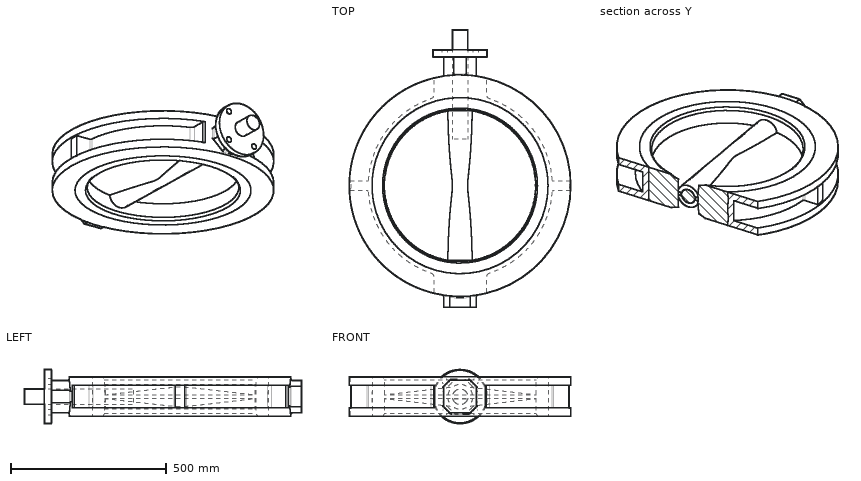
import cadquery as cq
import math

ring_radius = 357.5
ring_height = 127.0
rim_thickness = 27.0
pocket_height = ring_height - 2 * rim_thickness
pocket_floor_radius = 297.0

rib_half_width = 15.0
rib_outer_radius = 352.0
rib_fillet = 5.0
web_half_width = 85.0
web_fillet = 13.0
web_chamfer_across = 4.0

boss_width = 105.0
cap_flat_width = 66.0
neck_flat_width = 40.0
boss_base_fillet = 4.0
cap_end = -392.5

stem_end = 502.5
stem_length_outside = 65.0
stem_diameter = 50.0
flange_outer_face = stem_end - stem_length_outside
flange_thickness = 24.0
flange_inner_face = flange_outer_face - flange_thickness
flange_diameter = 175.0
flange_chamfer = 2.5
bolt_circle_diameter = 140.0
bolt_hole_diameter = 18.0
bolt_count = 4

liner_outer_radius = 284.0
bore_radius = 244.5
lip_radius = 250.0
lip_depth = 10.0

disc_radius = bore_radius
disc_rim_height = 12.0
hub_radius = 40.0
hub_length = 2 * math.sqrt(disc_radius**2 - hub_radius**2)
waist_half_width = 24.5
stem_depth_in_hub = 90.0
stem_inner_end = hub_length / 2 - stem_depth_in_hub

waist_height = math.sqrt(hub_radius**2 - waist_half_width**2)
cone_slope = (waist_height - disc_rim_height / 2) / (disc_radius - waist_half_width)
cone_apex_height = disc_rim_height / 2 + cone_slope * disc_radius


def cylinder_y(diameter, y_start, y_end):
    """Cylinder on the Y axis from y_start to y_end."""
    plane = cq.Workplane("XZ", origin=(0, y_end, 0))
    return plane.circle(diameter / 2).extrude(y_end - y_start)


def cylinder_z(radius, height):
    """Cylinder on the Z axis, centred on the mid plane."""
    return cq.Workplane("XY").circle(radius).extrude(height / 2, both=True)


def octagon_boss(flat_width, y_start, y_end):
    """Square bar on the Y axis whose four long edges are cut at 45 degrees."""
    corner_cut = (boss_width - flat_width) / 2
    length = y_end - y_start
    bar = cq.Workplane("XY").box(boss_width, length, boss_width).edges("|Y").chamfer(corner_cut)
    return bar.translate((0, (y_start + y_end) / 2, 0))


def fillet_nearest(solid, point, radius):
    """Round the edge of the solid that lies nearest to the point."""
    return solid.edges(cq.selectors.NearestToPointSelector(point)).fillet(radius)


def flare_boss_base(housing, side):
    """Blend the four boss flats into the ring; side is +1 or -1 along Y."""
    half = boss_width / 2
    side_flat_base = math.sqrt(ring_radius**2 - half**2)
    for sign in (1, -1):
        side_point = (sign * half, side * side_flat_base, 0)
        housing = fillet_nearest(housing, side_point, boss_base_fillet)
        face_point = (0, side * ring_radius, sign * half)
        housing = fillet_nearest(housing, face_point, boss_base_fillet)
    return housing


def rim_pocket():
    """Pocket between one rib and one web, in the +X +Y quadrant."""
    reach = ring_radius
    block = cq.Workplane("XY").box(reach, reach, pocket_height, centered=(False, False, True))
    block = block.translate((web_half_width, rib_half_width, 0))
    pocket = block.cut(cylinder_z(pocket_floor_radius, pocket_height))
    rib_corner_x = math.sqrt(pocket_floor_radius**2 - rib_half_width**2)
    web_corner_y = math.sqrt(pocket_floor_radius**2 - web_half_width**2)
    pocket = fillet_nearest(pocket, (rib_corner_x, rib_half_width, 0), rib_fillet)
    pocket = fillet_nearest(pocket, (web_half_width, web_corner_y, 0), web_fillet)

    mouth_x = web_half_width - web_chamfer_across
    mouth_y = math.sqrt(ring_radius**2 - mouth_x**2)
    bevel_y = math.sqrt(rib_outer_radius**2 - web_half_width**2)
    bevel = (
        cq.Workplane("XY")
        .polyline([(web_half_width, bevel_y), (mouth_x, mouth_y), (web_half_width, reach)])
        .close()
        .extrude(pocket_height / 2, both=True)
    )
    return pocket.union(bevel)


def rib_relief():
    """Material removed so that the ribs end short of the rims."""
    outer_band = cylinder_z(ring_radius, pocket_height).cut(cylinder_z(rib_outer_radius, pocket_height))
    rib_zone = cq.Workplane("XY").box(2 * ring_radius, 2 * rib_half_width, pocket_height)
    return outer_band.intersect(rib_zone)


def actuator_flange():
    """Round flange with bolt holes at the outer end of the neck."""
    flange = cylinder_y(flange_diameter, flange_inner_face, flange_outer_face)
    flange = flange.faces("<Y").edges().chamfer(flange_chamfer)
    bolt_holes = (
        cq.Workplane("XZ", origin=(0, flange_outer_face, 0))
        .polarArray(bolt_circle_diameter / 2, 180 / bolt_count, 360, bolt_count)
        .circle(bolt_hole_diameter / 2)
        .extrude(flange_thickness)
    )
    return flange.cut(bolt_holes)


def make_housing():
    """Ring with rim pockets, end cap, neck and actuator flange."""
    ring = cylinder_z(ring_radius, ring_height)
    neck = octagon_boss(neck_flat_width, 0, flange_inner_face)
    cap = octagon_boss(cap_flat_width, cap_end, 0)
    housing = ring.union(neck).union(cap)
    for side in (-1, 1):
        housing = flare_boss_base(housing, side)

    pocket = rim_pocket()
    for side_pocket in (pocket, pocket.mirror("YZ")):
        housing = housing.cut(side_pocket).cut(side_pocket.mirror("XZ"))
    housing = housing.cut(rib_relief())

    housing = housing.union(actuator_flange())
    housing = housing.cut(cylinder_z(liner_outer_radius, ring_height))
    return housing.cut(cylinder_y(stem_diameter, 0, flange_outer_face))


def make_liner():
    """Sleeve flush with both ring faces, with a conical lead-in at each end."""
    half = ring_height / 2
    profile = [
        (bore_radius, 0),
        (bore_radius, half - lip_depth),
        (lip_radius, half),
        (liner_outer_radius, half),
        (liner_outer_radius, 0),
    ]
    upper = cq.Workplane("XZ").polyline(profile).close().revolve(360, (0, 0), (0, 1))
    liner = upper.union(upper.mirror("XY"))
    return liner.cut(cylinder_y(stem_diameter, 0, ring_radius))


def make_disc():
    """Double-cone plate with a cylindrical hub and a blind hole for the stem."""
    half_rim = disc_rim_height / 2
    profile = [
        (0, -cone_apex_height),
        (disc_radius, -half_rim),
        (disc_radius, half_rim),
        (0, cone_apex_height),
    ]
    plate = cq.Workplane("XZ").polyline(profile).close().revolve(360, (0, 0), (0, 1))
    hub = cylinder_y(2 * hub_radius, -hub_length / 2, hub_length / 2)
    return plate.union(hub).cut(cylinder_y(stem_diameter, stem_inner_end, disc_radius))


def make_stem():
    """Drive stem from inside the hub out past the flange."""
    return cylinder_y(stem_diameter, stem_inner_end, stem_end)


housing = make_housing()
liner = make_liner()
disc = make_disc()
stem = make_stem()

result = cq.Compound.makeCompound([body.solids().val() for body in (housing, liner, disc, stem)])